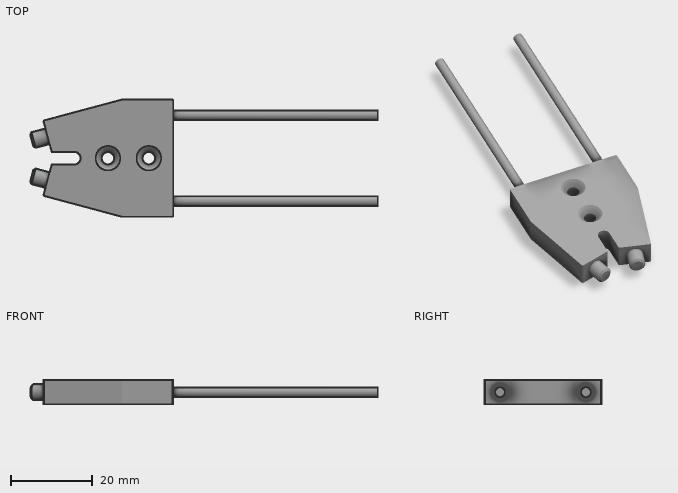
import cadquery as cq
import math

BLOCK_THICKNESS = 6.0
BLOCK_WIDTH = 28.71
REAR_LENGTH = 12.57
TAPER_LENGTH = 19.25
TAPER_ANGLE = 15.0
CORNER_CHAMFER = 0.25

SLOT_WIDTH = 3.0
SLOT_TIP_TO_REAR = 22.7

HOLE_DIAMETER = 3.0
COUNTERSINK_DIAMETER = 6.0
COUNTERSINK_ANGLE = 90.0
HOLE_PITCH = 10.0
HOLE_TO_REAR = 6.0

PIN_DIAMETER = 4.0
PIN_LENGTH = 4.0
PIN_CHAMFER = 0.5

ROD_DIAMETER = 2.4
ROD_LENGTH = 50.0
ROD_SPACING = 21.0

TAN_TAPER = math.tan(math.radians(TAPER_ANGLE))
HALF_WIDTH = BLOCK_WIDTH / 2
NOSE_X = -(REAR_LENGTH + TAPER_LENGTH)
NOSE_HALF_WIDTH = HALF_WIDTH - TAPER_LENGTH * TAN_TAPER
NOSE_VALLEY_X = NOSE_X + NOSE_HALF_WIDTH * TAN_TAPER
PIN_Y = (NOSE_HALF_WIDTH + SLOT_WIDTH / 2) / 2
PIN_X = NOSE_VALLEY_X - PIN_Y * TAN_TAPER


def make_block():
    outline = [
        (0, -HALF_WIDTH),
        (0, HALF_WIDTH),
        (-REAR_LENGTH, HALF_WIDTH),
        (NOSE_X, NOSE_HALF_WIDTH),
        (NOSE_VALLEY_X, 0),
        (NOSE_X, -NOSE_HALF_WIDTH),
        (-REAR_LENGTH, -HALF_WIDTH),
    ]
    block = (
        cq.Workplane("XY")
        .polyline(outline)
        .close()
        .extrude(BLOCK_THICKNESS / 2, both=True)
    )
    rear_corners = block.faces(">X").edges("|Z")
    block = rear_corners.chamfer(CORNER_CHAMFER)
    nose_corners = block.edges("<X")
    block = nose_corners.chamfer(CORNER_CHAMFER)
    return block.cut(make_slot_cutter()).cut(make_hole_cutters())


def make_slot_cutter():
    slot_radius = SLOT_WIDTH / 2
    arc_start_x = -SLOT_TIP_TO_REAR - slot_radius
    return (
        cq.Workplane("XY")
        .moveTo(NOSE_X, -slot_radius)
        .lineTo(arc_start_x, -slot_radius)
        .threePointArc((-SLOT_TIP_TO_REAR, 0), (arc_start_x, slot_radius))
        .lineTo(NOSE_X, slot_radius)
        .close()
        .extrude(BLOCK_THICKNESS / 2, both=True)
    )


def make_hole_cutters():
    hole_centres = [(-HOLE_TO_REAR, 0), (-HOLE_TO_REAR - HOLE_PITCH, 0)]
    drills = (
        cq.Workplane("XY")
        .pushPoints(hole_centres)
        .circle(HOLE_DIAMETER / 2)
        .extrude(BLOCK_THICKNESS / 2, both=True)
    )
    sink_radius = COUNTERSINK_DIAMETER / 2
    half_angle = math.radians(COUNTERSINK_ANGLE / 2)
    sink_depth = (sink_radius - HOLE_DIAMETER / 2) / math.tan(half_angle)
    sinks = (
        cq.Workplane("XY", origin=(0, 0, BLOCK_THICKNESS / 2))
        .pushPoints(hole_centres)
        .circle(sink_radius)
        .extrude(-sink_depth, taper=COUNTERSINK_ANGLE / 2)
    )
    return drills.union(sinks)


def make_pin(side):
    """One stub pin; side is +1 or -1 along Y. It leans toward the centre line."""
    axis = cq.Vector(-1, -side * TAN_TAPER, 0)
    base = cq.Plane(origin=(PIN_X, side * PIN_Y, 0), xDir=(0, 0, 1), normal=axis)
    return (
        cq.Workplane(base)
        .circle(PIN_DIAMETER / 2)
        .extrude(PIN_LENGTH)
        .faces("<X")
        .chamfer(PIN_CHAMFER)
    )


def make_rod(side):
    """One long rod; side is +1 or -1 along Y."""
    return (
        cq.Workplane("YZ")
        .center(side * ROD_SPACING / 2, 0)
        .circle(ROD_DIAMETER / 2)
        .extrude(ROD_LENGTH)
    )


block = make_block()
pins = [make_pin(side) for side in (1, -1)]
rods = [make_rod(side) for side in (1, -1)]

result = cq.Compound.makeCompound([
    block.val(),
    *[pin.val() for pin in pins],
    *[rod.val() for rod in rods],
])